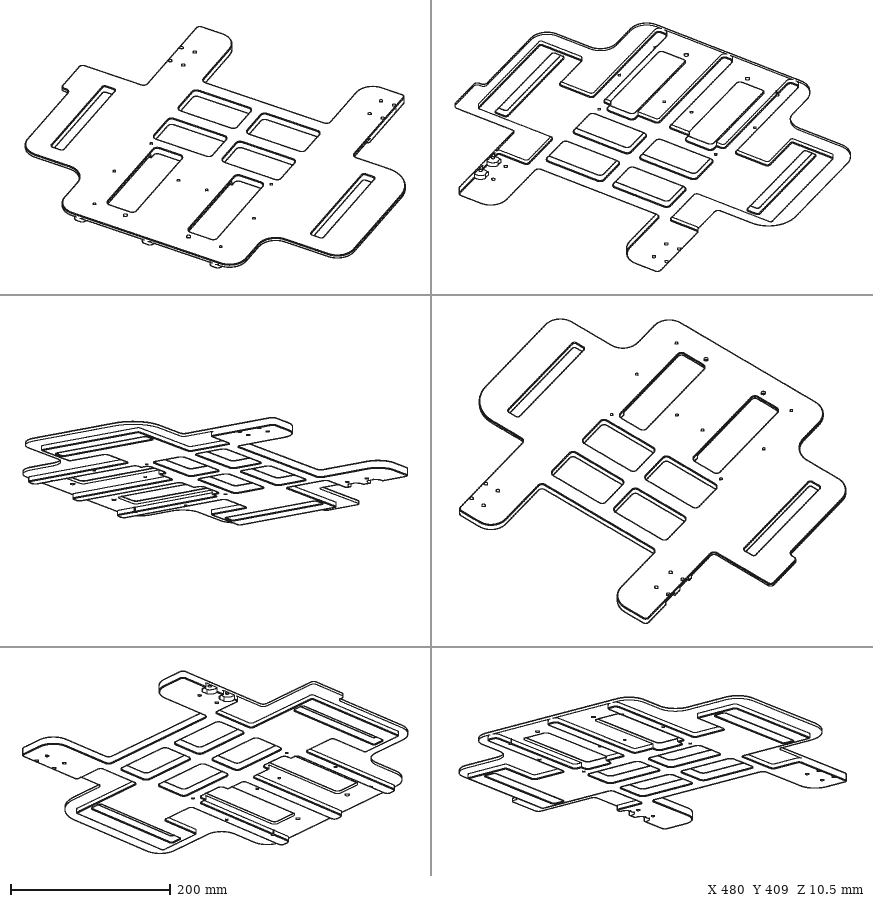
import cadquery as cq
TOTAL_LENGTH = 480.0
TOTAL_DEPTH = 409.0
TOTAL_HEIGHT = 10.5
PLATE_THICKNESS = 4.5
EDGE_CHAMFER = 1.0

HALF_X = TOTAL_LENGTH / 2
HALF_Y = TOTAL_DEPTH / 2
PLATE_BOTTOM = TOTAL_HEIGHT - PLATE_THICKNESS

ARM_OUTER_X = 148.5
ARM_INNER_X = 90.0
CROSSBAR_TOP_Y = 107.5
WING_TOP_Y = 65.5
WING_BOTTOM_Y = -123.5
TAB_BOTTOM_Y = 11.0
LEFT_WING_X = -227.0
TONGUE_HALF_X = 130.0
LARGE_RADIUS = 24.0
WING_TOP_RADIUS = 40.5
SMALL_RADIUS = 5.5

WINDOW_INNER_X = 7.5
WINDOW_HEIGHT = 45.5
WINDOW_BOTTOMS_Y = (42.5, -22.0)
SLOT_INNER_X = 177.0
SLOT_OUTER_X = 194.0
SLOT_TOP_Y = 40.5
SLOT_BOTTOM_Y = -98.5
SLOT_RADIUS = 3.0
BAY_INNER_X = 38.0
BAY_OUTER_X = 78.0
BAY_TOP_Y = -37.0
BAY_BOTTOM_Y = -166.5

FRAME_HALF_X = 216.5
FRAME_WING_INNER_X = 154.0
FRAME_WING_TOP_Y = 45.5
FRAME_WING_BOTTOM_Y = -104.5
FRAME_BAR_BOTTOM_Y = -48.5
FRAME_WING_RADIUS = 2.65
FRAME_ROOT_RADIUS = 4.0
RIB_HALF_WIDTH = 8.0
SIDE_RIB_X = 97.0
RIB_TIP_RADIUS = 6.0

SMALL_HOLE_RADIUS = 1.7
MEDIUM_HOLE_RADIUS = 1.7
LARGE_HOLE_RADIUS = 2.65
SMALL_HOLES = ((86.0, -33.5), (20.0, -82.5), (90.0, -174.5))
MEDIUM_HOLE = (100.0, -104.5)
LARGE_HOLE = (45.0, -176.0)
ARM_HOLE_INNER_X = 126.0
ARM_HOLE_OUTER_X = 145.0
ARM_HOLE_PITCH = 30.0
LEFT_ARM_HOLE_TOP_Y = 154.5
RIGHT_ARM_HOLE_TOP_Y = 180.0
ARM_HOLE_RADIUS = 2.15
COUNTERBORE_RADIUS = 10.0

PICK_MARGIN = 0.05


def rounded_prism(corners, bottom, top):
    """Prism over a polygon given as (x, y, corner radius)."""
    prism = cq.Workplane("XY").workplane(offset=bottom)
    prism = prism.polyline([(x, y) for x, y, _ in corners]).close().extrude(top - bottom)
    for x, y, radius in corners:
        low = (x - PICK_MARGIN, y - PICK_MARGIN, bottom)
        high = (x + PICK_MARGIN, y + PICK_MARGIN, top)
        prism = prism.edges("|Z").edges(cq.selectors.BoxSelector(low, high)).fillet(radius)
    return prism


def rounded_opening(x_min, x_max, y_min, y_max, radius):
    """Full-height cutter with a rounded rectangular outline."""
    outline = ((x_min, y_min), (x_max, y_min), (x_max, y_max), (x_min, y_max))
    return rounded_prism([(x, y, radius) for x, y in outline], 0, TOTAL_HEIGHT)


def vertical_holes(points, radius, height):
    """Cylindrical cutters rising from the underside."""
    return cq.Workplane("XY").pushPoints(points).circle(radius).extrude(height)


def mirrored(points):
    """Each point together with its mirror image across X = 0."""
    return [(side * x, y) for x, y in points for side in (-1, 1)]


def top_plate():
    """Plate with two arms, two wings and a tongue; the left wing carries a small tab."""
    corners = [
        (-TONGUE_HALF_X, -HALF_Y, LARGE_RADIUS),
        (TONGUE_HALF_X, -HALF_Y, LARGE_RADIUS),
        (TONGUE_HALF_X, WING_BOTTOM_Y, LARGE_RADIUS),
        (HALF_X, WING_BOTTOM_Y, LARGE_RADIUS),
        (HALF_X, WING_TOP_Y, WING_TOP_RADIUS),
        (ARM_OUTER_X, WING_TOP_Y, SMALL_RADIUS),
        (ARM_OUTER_X, HALF_Y, SMALL_RADIUS),
        (ARM_INNER_X, HALF_Y, LARGE_RADIUS),
        (ARM_INNER_X, CROSSBAR_TOP_Y, SMALL_RADIUS),
        (-ARM_INNER_X, CROSSBAR_TOP_Y, SMALL_RADIUS),
        (-ARM_INNER_X, HALF_Y, LARGE_RADIUS),
        (-ARM_OUTER_X, HALF_Y, SMALL_RADIUS),
        (-ARM_OUTER_X, WING_TOP_Y, SMALL_RADIUS),
        (-HALF_X, WING_TOP_Y, SMALL_RADIUS),
        (-HALF_X, TAB_BOTTOM_Y, SMALL_RADIUS),
        (LEFT_WING_X, TAB_BOTTOM_Y, SMALL_RADIUS),
        (LEFT_WING_X, WING_BOTTOM_Y, LARGE_RADIUS),
        (-TONGUE_HALF_X, WING_BOTTOM_Y, LARGE_RADIUS),
    ]
    return rounded_prism(corners, PLATE_BOTTOM, TOTAL_HEIGHT)


def lower_frame():
    """Arms, wing blocks and crossbar with three ribs reaching the -Y edge."""
    rib_outer = SIDE_RIB_X + RIB_HALF_WIDTH
    rib_inner = SIDE_RIB_X - RIB_HALF_WIDTH
    right_side = [
        (RIB_HALF_WIDTH, -HALF_Y, RIB_TIP_RADIUS),
        (RIB_HALF_WIDTH, FRAME_BAR_BOTTOM_Y, FRAME_ROOT_RADIUS),
        (rib_inner, FRAME_BAR_BOTTOM_Y, FRAME_ROOT_RADIUS),
        (rib_inner, -HALF_Y, RIB_TIP_RADIUS),
        (rib_outer, -HALF_Y, RIB_TIP_RADIUS),
        (rib_outer, FRAME_BAR_BOTTOM_Y, FRAME_ROOT_RADIUS),
        (FRAME_WING_INNER_X, FRAME_BAR_BOTTOM_Y, FRAME_ROOT_RADIUS),
        (FRAME_WING_INNER_X, FRAME_WING_BOTTOM_Y, FRAME_WING_RADIUS),
        (FRAME_HALF_X, FRAME_WING_BOTTOM_Y, FRAME_WING_RADIUS),
        (FRAME_HALF_X, FRAME_WING_TOP_Y, FRAME_WING_RADIUS),
        (rib_outer, FRAME_WING_TOP_Y, FRAME_ROOT_RADIUS),
        (rib_outer, CROSSBAR_TOP_Y, FRAME_ROOT_RADIUS),
        (ARM_OUTER_X, CROSSBAR_TOP_Y, FRAME_ROOT_RADIUS),
        (ARM_OUTER_X, HALF_Y, SMALL_RADIUS),
        (ARM_INNER_X, HALF_Y, LARGE_RADIUS),
        (ARM_INNER_X, CROSSBAR_TOP_Y, SMALL_RADIUS),
    ]
    left_side = [(-x, y, radius) for x, y, radius in reversed(right_side)]
    return rounded_prism(right_side + left_side, 0, PLATE_BOTTOM)


def openings():
    """Cutters for the four windows, two wing slots and two long bays."""
    right_side = [
        (WINDOW_INNER_X, ARM_INNER_X, y, y + WINDOW_HEIGHT, SMALL_RADIUS) for y in WINDOW_BOTTOMS_Y
    ]
    right_side.append((SLOT_INNER_X, SLOT_OUTER_X, SLOT_BOTTOM_Y, SLOT_TOP_Y, SLOT_RADIUS))
    right_side.append((BAY_INNER_X, BAY_OUTER_X, BAY_BOTTOM_Y, BAY_TOP_Y, SMALL_RADIUS))
    cutters = []
    for inner, outer, y_min, y_max, radius in right_side:
        cutters.append(rounded_opening(inner, outer, y_min, y_max, radius))
        cutters.append(rounded_opening(-outer, -inner, y_min, y_max, radius))
    return cutters


def arm_hole_points():
    """Four hole centres on each arm, set further from the tip on the left arm."""
    points = []
    for side, top_y in ((-1, LEFT_ARM_HOLE_TOP_Y), (1, RIGHT_ARM_HOLE_TOP_Y)):
        for x in (ARM_HOLE_INNER_X, ARM_HOLE_OUTER_X):
            points += [(side * x, top_y), (side * x, top_y - ARM_HOLE_PITCH)]
    return points


plate = top_plate()
frame = lower_frame()
for cutter in openings():
    plate = plate.cut(cutter)
    frame = frame.cut(cutter)
plate = plate.faces(">Z").edges().chamfer(EDGE_CHAMFER)
frame = frame.faces("<Z").edges().chamfer(EDGE_CHAMFER)

frame = frame.cut(vertical_holes(arm_hole_points(), COUNTERBORE_RADIUS, PLATE_BOTTOM))

result = plate.union(frame)
result = result.cut(vertical_holes(arm_hole_points(), ARM_HOLE_RADIUS, TOTAL_HEIGHT))
result = result.cut(vertical_holes(mirrored(SMALL_HOLES), SMALL_HOLE_RADIUS, TOTAL_HEIGHT))
result = result.cut(vertical_holes(mirrored([MEDIUM_HOLE]), MEDIUM_HOLE_RADIUS, TOTAL_HEIGHT))
result = result.cut(vertical_holes(mirrored([LARGE_HOLE]), LARGE_HOLE_RADIUS, TOTAL_HEIGHT))